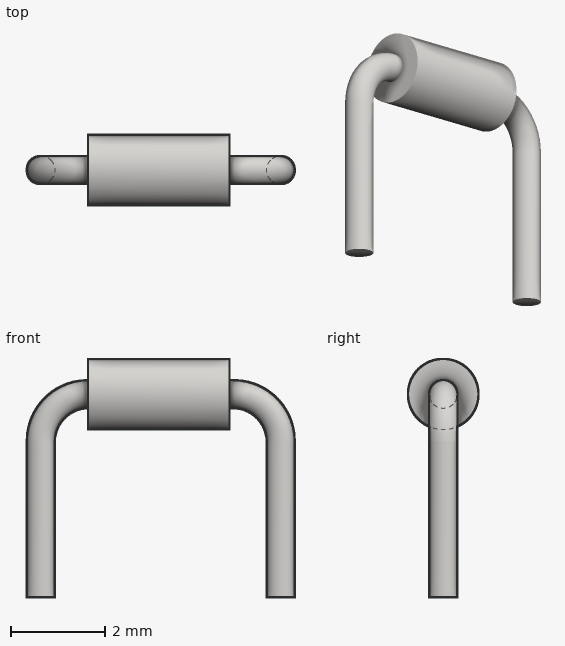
import cadquery as cq

body_diameter = 1.5
body_length = 3.0
lead_diameter = 0.6
lead_pitch = 5.08
bend_radius = 1.0
overall_height = 5.05

axis_height = overall_height - body_diameter / 2
straight_height = axis_height - bend_radius
body_start = bend_radius
body_end = body_start + body_length


def make_body():
    """Cylindrical component body lying along X."""
    return (
        cq.Workplane("YZ", origin=(body_start, 0, axis_height))
        .circle(body_diameter / 2)
        .extrude(body_length)
    )


def make_lead(foot_x, inward, face_x):
    """Round wire rising from foot_x, bending inward (+1 or -1 along X) to the body face."""
    bend_end_x = foot_x + inward * bend_radius
    profile = cq.Workplane("XY", origin=(foot_x, 0, 0)).circle(lead_diameter / 2)
    path = (
        cq.Workplane("XZ")
        .moveTo(foot_x, 0)
        .lineTo(foot_x, straight_height)
        .tangentArcPoint((bend_end_x, axis_height), relative=False)
    )
    if face_x != bend_end_x:
        path = path.lineTo(face_x, axis_height)
    return profile.sweep(path)


first_lead = make_lead(0, 1, body_start)
second_lead = make_lead(lead_pitch, -1, body_end)

result = make_body().union(first_lead).union(second_lead)